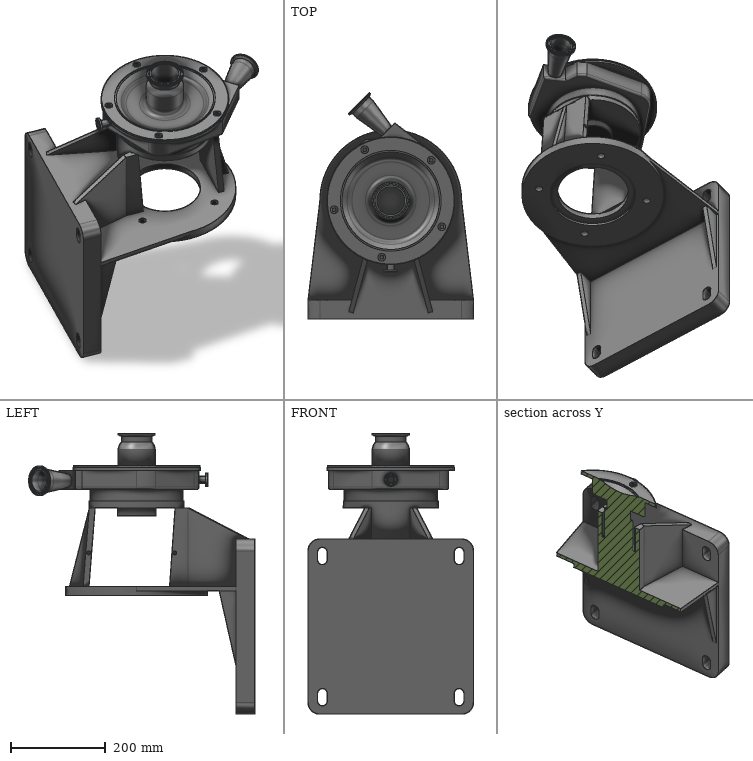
import cadquery as cq
import math


total_height = 593.5
cover_top = 525.5
flange_thickness = 10.0
flange_bottom = cover_top - flange_thickness
casing_bottom = 475.0
neck_bottom = 450.5
leg_top = 436.0
hub_bottom = 419.5
base_thickness = 20.0
base_top = 270.5
base_bottom = base_top - base_thickness

mount_width = 350.0
mount_height = 370.5
mount_front = -250.0
mount_thickness = 40.0
mount_back = mount_front + mount_thickness
mount_corner_radius = 25.0
slot_width = 20.0
slot_length = 36.0
slot_inset_x = 30.5
slot_inset_z = 36.0

disc_radius = 150.0
web_thickness = 10.0
base_hole_radius = 75.0
base_recess_radius = 90.0
base_recess_depth = 6.0
base_bolt_circle = 115.0
base_bolt_diameter = 15.0
base_bolt_count = 4
base_bolt_first_angle = 45.0
brace_top_y = -174.5
brace_bottom = 102.0
brace_thickness = 10.0
brace_outer_x = 170.0

leg_half_width = 55.0
front_leg_side_y = -108.5
front_leg_inner_top = -81.0
front_leg_inner_bottom = -69.5
back_leg_thickness = 12.5
back_leg_inner_top = 87.5
back_leg_inner_bottom = 100.5
rib_thickness = 10.0
rib_outer_top = 100.0
rib_outer_bottom = 142.0
gusset_thickness = 10.0
gusset_angle = 15.0
gusset_root = 18.0
gusset_end_y = -234.5
leg_hole_diameter = 8.0
leg_hole_depth = 20.0
leg_hole_z = 341.0
leg_hole_inset = 6.0

flange_radius = 135.0
cover_radius = 134.0
cover_thickness = 4.0
corner_count = 5
corner_first_angle = 45.0
corner_centre_radius = 98.0
corner_radius = 35.0
casing_edge_fillet = 5.0
neck_radius = 98.5
collar_radius = 100.5
hub_radius = 41.0

screw_circle = 121.0
screw_head_radius = 8.0
screw_head_depth = 7.0
screw_socket_radius = 4.0
screw_socket_depth = 3.0

lip_radius = 106.5
lip_depth = 2.0
dish_wall_top_radius = 103.0
dish_wall_foot_radius = 92.5
dish_floor_radius = 82.0
dish_depth = 17.0
dish_wall_foot_height = 5.0
dish_bend_mid_radius = 88.3
dish_bend_mid_height = 1.5
inlet_fillet = 14.0

inlet_radius = 39.5
inlet_neck_radius = 32.5
inlet_bore_radius = 29.5
inlet_ferrule_radius = 39.2
inlet_ferrule_rim = 3.0
inlet_ferrule_height = 6.0
inlet_neck_height = 18.0
inlet_shoulder_height = 34.0
inlet_shoulder_mid_radius = 37.5
inlet_bore_floor = 490.0

groove_setback = 3.0
groove_width = 3.0
groove_depth = 1.5

outlet_face = 110.0
outlet_end = 193.5
outlet_block_inner = 75.0
outlet_block_taper_angle = 6.8
block_side_extension = 17.0
outlet_z = 493.5
outlet_root_radius = 14.5
outlet_root_bore = 11.5
outlet_pipe_radius = 25.0
outlet_pipe_bore = 22.0
outlet_pipe_length = 18.5
outlet_ferrule_radius = 31.5
outlet_ferrule_rim = 3.0
outlet_ferrule_height = 6.0
shoulder_end = 54.0
shoulder_slope_angle = 4.0
shoulder_side_extension = 14.0

drain_z = 495.8
drain_end = -151.0
drain_root = -110.0
drain_radius = 8.0
drain_bore_radius = 6.5
drain_ferrule_radius = 14.0
drain_ferrule_thickness = 5.0
drain_bore_depth = 25.0
drain_groove_outer_radius = 12.0
drain_groove_inner_radius = 9.5


def disc(radius, bottom, top):
    """Cylinder on the pump axis between two levels."""
    return cq.Workplane("XY").workplane(offset=bottom).circle(radius).extrude(top - bottom)


def slab_yz(points, thickness):
    """Plate with a YZ outline, centred on X = 0."""
    return cq.Workplane("YZ").polyline(points).close().extrude(thickness / 2, both=True)


def turned(points):
    """Solid turned about Z from (radius, height) points."""
    return cq.Workplane("XZ").polyline(points).close().revolve(360, (0, 0, 0), (0, 1, 0))


def both_sides(solid):
    """A solid together with its mirror image across X = 0."""
    return solid.union(solid.mirror("YZ"))


def make_mount_plate():
    mid_z = mount_height / 2
    slot_x = mount_width - 2 * slot_inset_x
    slot_z = mount_height - 2 * slot_inset_z
    plate = (
        cq.Workplane("XZ", origin=(0, mount_back, mid_z))
        .rect(mount_width, mount_height)
        .extrude(mount_thickness)
        .edges("|Y")
        .fillet(mount_corner_radius)
    )
    slots = (
        cq.Workplane("XZ", origin=(0, mount_back, mid_z))
        .rect(slot_x, slot_z, forConstruction=True)
        .vertices()
        .slot2D(slot_length, slot_width, 90)
        .extrude(mount_thickness)
    )
    return plate.cut(slots)


def make_base():
    web_outline = [
        (-disc_radius, 0),
        (disc_radius, 0),
        (mount_width / 2, mount_back),
        (-mount_width / 2, mount_back),
    ]
    web = (
        cq.Workplane("XY")
        .workplane(offset=base_top - web_thickness)
        .polyline(web_outline)
        .close()
        .extrude(web_thickness)
    )
    base = disc(disc_radius, base_bottom, base_top).union(web)
    bolts = (
        cq.Workplane("XY")
        .workplane(offset=base_bottom)
        .polarArray(base_bolt_circle, base_bolt_first_angle, 360, base_bolt_count)
        .circle(base_bolt_diameter / 2)
        .extrude(base_thickness)
    )
    hole = disc(base_hole_radius, base_bottom, base_top)
    recess = disc(base_recess_radius, base_bottom, base_bottom + base_recess_depth)
    return base.cut(hole).cut(recess).cut(bolts)


def make_braces():
    """Triangular plates under the base, next to its two side edges."""
    outline = [
        (brace_top_y, base_top - web_thickness),
        (mount_back, base_top - web_thickness),
        (mount_back, brace_bottom),
    ]
    brace = slab_yz(outline, brace_thickness)
    return both_sides(brace.translate((brace_outer_x - brace_thickness / 2, 0, 0)))


def leg_hole(y):
    """Blind hole drilled along X into the left edge of a leg."""
    return (
        cq.Workplane("YZ", origin=(-leg_half_width, y, leg_hole_z))
        .circle(leg_hole_diameter / 2)
        .extrude(leg_hole_depth)
    )


def inner_face_y(top_y, bottom_y, z):
    """Y of a sloping leg face at level z."""
    return bottom_y + (top_y - bottom_y) * (z - base_top) / (leg_top - base_top)


def make_front_leg():
    """Leg with a sloping flat inner face, a round outer face and square cheeks at both sides."""
    outline = [
        (front_leg_inner_top, leg_top),
        (front_leg_inner_bottom, base_top),
        (front_leg_side_y, base_top),
        (front_leg_side_y, leg_top),
    ]
    core = slab_yz(outline, 2 * leg_half_width).intersect(disc(collar_radius, base_top, leg_top))
    cheek = slab_yz(outline, gusset_thickness).translate((leg_half_width - gusset_thickness / 2, 0, 0))
    face_y = inner_face_y(front_leg_inner_top, front_leg_inner_bottom, leg_hole_z)
    return core.union(both_sides(cheek)).cut(leg_hole(face_y - leg_hole_inset))


def make_back_leg():
    """Sloping plate stiffened by a single rib in the middle."""
    plate_outline = [
        (back_leg_inner_top, leg_top),
        (back_leg_inner_bottom, base_top),
        (back_leg_inner_bottom + back_leg_thickness, base_top),
        (back_leg_inner_top + back_leg_thickness, leg_top),
    ]
    rib_outline = [
        (back_leg_inner_top, leg_top),
        (back_leg_inner_bottom, base_top),
        (rib_outer_bottom, base_top),
        (rib_outer_top, leg_top),
    ]
    face_y = inner_face_y(back_leg_inner_top, back_leg_inner_bottom, leg_hole_z)
    plate = slab_yz(plate_outline, 2 * leg_half_width).cut(leg_hole(face_y + leg_hole_inset))
    return plate.union(slab_yz(rib_outline, rib_thickness))


def make_gussets():
    """Splayed plates from the cheeks of the front leg to the top of the mounting plate."""
    start_y = front_leg_side_y
    end_y = start_y + (gusset_end_y - start_y) / math.cos(math.radians(gusset_angle))
    outline = [
        (start_y + gusset_root, base_top),
        (start_y + gusset_root, leg_top),
        (start_y, leg_top),
        (end_y, mount_height),
        (end_y, base_top),
    ]
    gusset = slab_yz(outline, gusset_thickness).translate((leg_half_width - gusset_thickness / 2, 0, 0))
    hinge = (leg_half_width, start_y)
    return both_sides(gusset.rotate((*hinge, 0), (*hinge, 1), gusset_angle))


def make_fill_block():
    """Solid between the gussets, level with the top of the mounting plate."""
    slope = math.tan(math.radians(gusset_angle))
    inner_y = front_leg_side_y + gusset_root
    front_half_width = leg_half_width - gusset_thickness / 2
    back_half_width = front_half_width + slope * (front_leg_side_y - mount_back)
    outline = [
        (-front_half_width, inner_y),
        (front_half_width, inner_y),
        (front_half_width, front_leg_side_y),
        (back_half_width, mount_back),
        (-back_half_width, mount_back),
        (-front_half_width, front_leg_side_y),
    ]
    return (
        cq.Workplane("XY")
        .workplane(offset=base_top)
        .polyline(outline)
        .close()
        .extrude(mount_height - base_top)
    )


def make_casing():
    """Rounded pentagon under a round flange, with the outlet block, and the neck, collar and hub below."""
    step = 360 / corner_count
    corners = []
    for index in range(corner_count):
        angle = math.radians(corner_first_angle + index * step)
        corners.append((corner_centre_radius * math.cos(angle), corner_centre_radius * math.sin(angle)))
    pentagon = (
        cq.Workplane("XY")
        .workplane(offset=casing_bottom)
        .polyline(corners)
        .close()
        .offset2D(corner_radius, "arc")
        .extrude(flange_bottom - casing_bottom)
    )
    body = pentagon.union(make_outlet_block()).faces("<Z").edges().fillet(casing_edge_fillet)
    return (
        body.union(disc(flange_radius, flange_bottom, cover_top - cover_thickness))
        .union(disc(cover_radius, cover_top - cover_thickness, cover_top))
        .union(disc(neck_radius, neck_bottom, casing_bottom))
        .union(disc(collar_radius, leg_top, neck_bottom))
        .union(disc(hub_radius, hub_bottom, leg_top))
    )


def make_dish():
    """Recess turned into the cover, leaving a filleted foot around the inlet."""
    floor = cover_top - dish_depth
    lip_floor = cover_top - lip_depth
    wall_foot = floor + dish_wall_foot_height
    fillet_mid = inlet_fillet * (1 - math.sqrt(0.5))
    return (
        cq.Workplane("XZ")
        .moveTo(inlet_radius, cover_top)
        .lineTo(lip_radius, cover_top)
        .lineTo(lip_radius, lip_floor)
        .lineTo(dish_wall_top_radius, lip_floor)
        .lineTo(dish_wall_foot_radius, wall_foot)
        .threePointArc((dish_bend_mid_radius, floor + dish_bend_mid_height), (dish_floor_radius, floor))
        .lineTo(inlet_radius + inlet_fillet, floor)
        .threePointArc((inlet_radius + fillet_mid, floor + fillet_mid), (inlet_radius, floor + inlet_fillet))
        .close()
        .revolve(360, (0, 0, 0), (0, 1, 0))
    )


def make_inlet():
    foot = cover_top - dish_depth
    neck_z = total_height - inlet_neck_height
    shoulder_z = total_height - inlet_shoulder_height
    ferrule_z = total_height - inlet_ferrule_height
    shoulder_mid = (inlet_shoulder_mid_radius, (neck_z + shoulder_z) / 2)
    return (
        cq.Workplane("XZ")
        .moveTo(0, foot)
        .lineTo(inlet_radius, foot)
        .lineTo(inlet_radius, shoulder_z)
        .threePointArc(shoulder_mid, (inlet_neck_radius, neck_z))
        .lineTo(inlet_neck_radius, ferrule_z)
        .lineTo(inlet_ferrule_radius, total_height - inlet_ferrule_rim)
        .lineTo(inlet_ferrule_radius, total_height)
        .lineTo(0, total_height)
        .close()
        .revolve(360, (0, 0, 0), (0, 1, 0))
    )


def groove_profile(ferrule_radius, end):
    """Gasket groove section as (radius, distance) points, set in from the ferrule rim."""
    outer = ferrule_radius - groove_setback
    return [
        (outer - groove_width, end - groove_depth),
        (outer, end - groove_depth),
        (outer, end),
        (outer - groove_width, end),
    ]


def make_screw_recesses():
    """Recessed screw heads with round sockets, one above each casing corner."""
    head_level = cover_top - screw_head_depth
    recesses = cq.Workplane("XY")
    for radius, bottom in (
        (screw_head_radius, head_level),
        (screw_socket_radius, head_level - screw_socket_depth),
    ):
        ring = (
            cq.Workplane("XY")
            .workplane(offset=bottom)
            .polarArray(screw_circle, corner_first_angle, 360, corner_count)
            .circle(radius)
            .extrude(cover_top - bottom)
        )
        recesses = recesses.union(ring)
    return recesses


def to_outlet_frame(solid):
    """Turn a solid laid out with its flow along +Y so that the flow leaves the first casing corner."""
    return solid.rotate((0, 0, 0), (0, 0, 1), corner_first_angle)


def turned_outlet(points):
    """Solid turned about the outlet axis from (radius, distance along the flow) points."""
    solid = turned(points).rotate((0, 0, 0), (1, 0, 0), -90)
    return to_outlet_frame(solid.translate((corner_centre_radius, 0, outlet_z)))


def casing_side_point(corner_angle, normal_angle, extension):
    """Point on a flat casing side, in the outlet frame, beyond its tangent point with a corner."""
    corner = math.radians(corner_angle)
    normal = math.radians(normal_angle)
    along = math.copysign(extension, math.sin(normal))
    x = corner_centre_radius * math.cos(corner) + corner_radius * math.cos(normal)
    y = corner_centre_radius * math.sin(corner) + corner_radius * math.sin(normal)
    return x + along * math.sin(normal), y - along * math.cos(normal)


def make_outlet_block():
    """Tapered block carrying the outlet pipe and the shoulder at the next corner, as deep as the casing."""
    half_step = 180 / corner_count
    next_corner = 2 * half_step
    block_side = -half_step
    shoulder_side = 3 * half_step
    outer_x, outer_y = casing_side_point(0, block_side, block_side_extension)
    face_x = outer_x - (outlet_face - outer_y) * math.tan(math.radians(outlet_block_taper_angle))
    block_outline = [
        (outlet_block_inner, outer_y),
        casing_side_point(0, block_side, 0),
        (outer_x, outer_y),
        (face_x, outlet_face),
        (outlet_block_inner, outlet_face),
    ]
    step_x, step_y = casing_side_point(next_corner, shoulder_side, shoulder_side_extension)
    end_y = step_y - (shoulder_end - step_x) * math.tan(math.radians(shoulder_slope_angle))
    shoulder_outline = [
        casing_side_point(next_corner, shoulder_side, 0),
        (step_x, step_y),
        (shoulder_end, end_y),
        (outlet_block_inner, outlet_face),
        (outlet_block_inner, 0),
    ]
    block = cq.Workplane("XY")
    for outline in (block_outline, shoulder_outline):
        piece = (
            cq.Workplane("XY")
            .workplane(offset=casing_bottom)
            .polyline(outline)
            .close()
            .extrude(flange_bottom - casing_bottom)
        )
        block = block.union(piece)
    return to_outlet_frame(block)


def make_outlet_pipe():
    return turned_outlet([
        (0, outlet_face),
        (outlet_root_radius, outlet_face),
        (outlet_pipe_radius, outlet_end - outlet_pipe_length),
        (outlet_pipe_radius, outlet_end - outlet_ferrule_height),
        (outlet_ferrule_radius, outlet_end - outlet_ferrule_rim),
        (outlet_ferrule_radius, outlet_end),
        (0, outlet_end),
    ])


def make_outlet_bore():
    return turned_outlet([
        (0, outlet_face),
        (outlet_root_bore, outlet_face),
        (outlet_pipe_bore, outlet_end - outlet_pipe_length),
        (outlet_pipe_bore, outlet_end),
        (0, outlet_end),
    ])


def drain_cylinder(radius, start_y):
    """Cylinder on the drain axis from start_y out to the drain's end face."""
    return cq.Workplane("XZ", origin=(0, start_y, drain_z)).circle(radius).extrude(start_y - drain_end)


def make_drain():
    return drain_cylinder(drain_radius, drain_root).union(
        drain_cylinder(drain_ferrule_radius, drain_end + drain_ferrule_thickness)
    )


def make_drain_groove():
    floor_y = drain_end + groove_depth
    return drain_cylinder(drain_groove_outer_radius, floor_y).cut(
        drain_cylinder(drain_groove_inner_radius, floor_y)
    )


bracket = (
    make_mount_plate()
    .union(make_base())
    .union(make_braces())
    .union(make_front_leg())
    .union(make_back_leg())
    .union(make_gussets())
    .union(make_fill_block())
)

pump = (
    make_casing()
    .union(make_outlet_pipe())
    .union(make_drain())
    .cut(make_dish())
    .union(make_inlet())
    .cut(make_screw_recesses())
    .cut(disc(inlet_bore_radius, inlet_bore_floor, total_height))
    .cut(make_outlet_bore())
    .cut(turned(groove_profile(inlet_ferrule_radius, total_height)))
    .cut(turned_outlet(groove_profile(outlet_ferrule_radius, outlet_end)))
    .cut(drain_cylinder(drain_bore_radius, drain_end + drain_bore_depth))
    .cut(make_drain_groove())
)

result = bracket.union(pump)